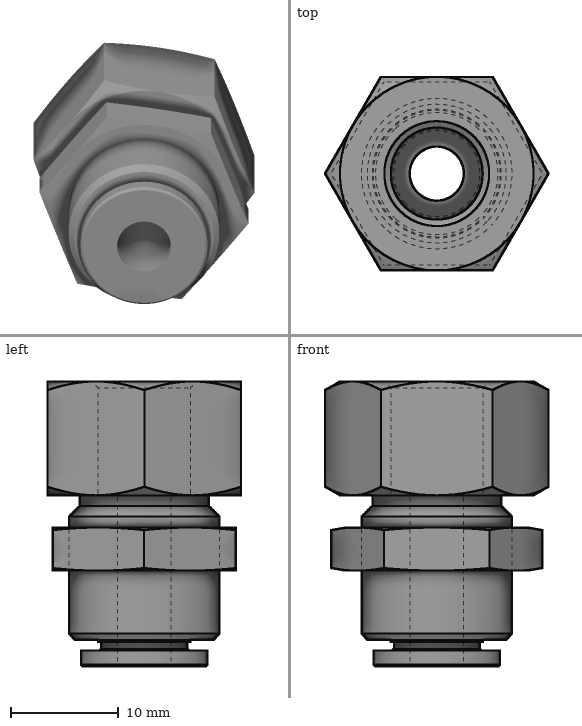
import cadquery as cq
import math


BODY_HEX_FLATS = 18.0
BODY_HEX_CORNER_DROP = 0.8
NUT_FLATS = 17.0
NUT_CORNER_DROP = 0.25

NECK_DIAMETER = 12.0
BARREL_DIAMETER = 14.0
BARREL_END_DIAMETER = 12.9
LIP_DIAMETER = 8.6
SLEEVE_DIAMETER = 8.0
FLANGE_DIAMETER = 11.8
FLANGE_CHAMFER = 0.2
SLEEVE_FOOT_CHAMFER = 0.15

FLANGE_TOP = 1.5
SLEEVE_TOP = 2.3
BARREL_BOTTOM = 2.5
BARREL_CHAMFER_TOP = 3.1
NUT_BOTTOM = 8.93
NUT_TOP = 12.93
BARREL_TOP = 13.95
NECK_BOTTOM = BARREL_TOP + (BARREL_DIAMETER - NECK_DIAMETER) / 2
BODY_HEX_BOTTOM = 15.93
TOTAL_HEIGHT = 26.5

THROUGH_DIAMETER = 5.0
SOCKET_DIAMETER = 8.55
SOCKET_MOUTH_DIAMETER = 9.75
SOCKET_DEPTH = TOTAL_HEIGHT - BODY_HEX_BOTTOM


def revolve_profile(points):
    """Turn a closed (radius, height) outline around the Z axis."""
    return cq.Workplane("XZ").polyline(points).close().revolve(360, (0, 0), (0, 1))


def chamfered_hex(flats, bottom, top, corner_drop):
    """Hexagonal prism whose corners are turned down by a cone at both ends."""
    flat_radius = flats / 2
    corner_radius = flat_radius / math.cos(math.pi / 6)
    prism = (
        cq.Workplane("XY")
        .workplane(offset=bottom)
        .polygon(6, 2 * corner_radius)
        .extrude(top - bottom)
    )
    turned_envelope = revolve_profile([
        (0, bottom),
        (flat_radius, bottom),
        (corner_radius, bottom + corner_drop),
        (corner_radius, top - corner_drop),
        (flat_radius, top),
        (0, top),
    ])
    return prism.intersect(turned_envelope)


def turned_stem():
    """Everything below the body hexagon: flange, sleeve, lip, barrel and neck."""
    flange_radius = FLANGE_DIAMETER / 2
    return revolve_profile([
        (0, 0),
        (flange_radius - FLANGE_CHAMFER, 0),
        (flange_radius, FLANGE_CHAMFER),
        (flange_radius, FLANGE_TOP),
        (SLEEVE_DIAMETER / 2 + SLEEVE_FOOT_CHAMFER, FLANGE_TOP),
        (SLEEVE_DIAMETER / 2, FLANGE_TOP + SLEEVE_FOOT_CHAMFER),
        (SLEEVE_DIAMETER / 2, SLEEVE_TOP),
        (LIP_DIAMETER / 2, SLEEVE_TOP),
        (LIP_DIAMETER / 2, BARREL_BOTTOM),
        (BARREL_END_DIAMETER / 2, BARREL_BOTTOM),
        (BARREL_DIAMETER / 2, BARREL_CHAMFER_TOP),
        (BARREL_DIAMETER / 2, BARREL_TOP),
        (NECK_DIAMETER / 2, NECK_BOTTOM),
        (NECK_DIAMETER / 2, BODY_HEX_BOTTOM),
        (0, BODY_HEX_BOTTOM),
    ])


def stepped_bore():
    """Through bore opening into a socket with a 45 degree mouth chamfer."""
    socket_floor = TOTAL_HEIGHT - SOCKET_DEPTH
    mouth_depth = (SOCKET_MOUTH_DIAMETER - SOCKET_DIAMETER) / 2
    return revolve_profile([
        (0, 0),
        (THROUGH_DIAMETER / 2, 0),
        (THROUGH_DIAMETER / 2, socket_floor),
        (SOCKET_DIAMETER / 2, socket_floor),
        (SOCKET_DIAMETER / 2, TOTAL_HEIGHT - mouth_depth),
        (SOCKET_MOUTH_DIAMETER / 2, TOTAL_HEIGHT),
        (0, TOTAL_HEIGHT),
    ])


def make_body():
    hexagon = chamfered_hex(BODY_HEX_FLATS, BODY_HEX_BOTTOM, TOTAL_HEIGHT, BODY_HEX_CORNER_DROP)
    return turned_stem().union(hexagon).cut(stepped_bore())


def make_lock_nut():
    hexagon = chamfered_hex(NUT_FLATS, NUT_BOTTOM, NUT_TOP, NUT_CORNER_DROP)
    barrel_hole = (
        cq.Workplane("XY")
        .workplane(offset=NUT_BOTTOM)
        .circle(BARREL_DIAMETER / 2)
        .extrude(NUT_TOP - NUT_BOTTOM)
    )
    return hexagon.cut(barrel_hole)


body = make_body()
lock_nut = make_lock_nut()

result = cq.Compound.makeCompound([body.val(), lock_nut.val()])